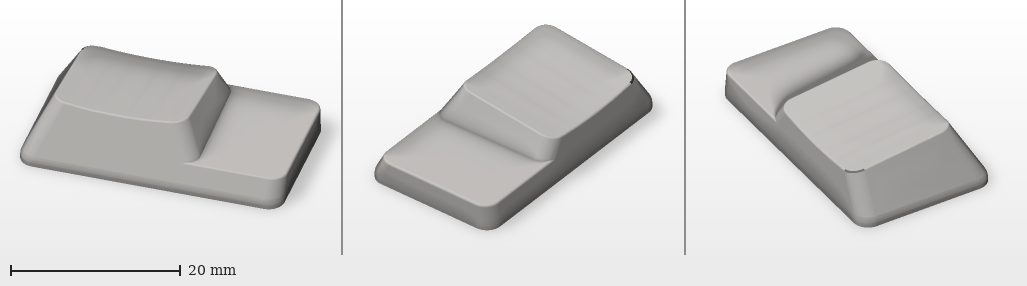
import cadquery as cq
import math

length = 32.45
width = 18.16
corner_radius = 1.95

skirt_height = 0.6
band_height = 0.72
band_top = skirt_height + band_height
wall_foot = skirt_height + band_height / 2

key_foot_right = 23.05
top_left = 3.38
top_right = 19.55
top_front = 3.75
top_back_inset = 0.48
top_back = width - top_back_inset
top_corner_radius = 1.8
top_tilt = math.radians(7.0)
top_front_height = 7.98
top_edge_radius = 0.25

dish_radius = 60.0
dish_depth = 0.84

step_height = 3.53
step_edge_radius = 0.28

top_middle_x = (top_left + top_right) / 2
top_middle_y = (top_front + top_back) / 2
top_back_height = top_front_height - (top_back - top_front) * math.tan(top_tilt)
top_middle_height = (top_front_height + top_back_height) / 2

front_lean = top_front / (top_front_height - wall_foot)
back_lean = (width - top_back) / (top_back_height - wall_foot)
left_lean = top_left / (top_middle_height - wall_foot)
key_right_lean = (key_foot_right - top_right) / (top_middle_height - wall_foot)


def rounded_outline(plane, left, right, front, back, radius):
    """Rectangle with four rounded corners, in the local axes of the plane."""
    wire = cq.Workplane(plane).moveTo(left + radius, front).lineTo(right - radius, front)
    wire = wire.radiusArc((right, front + radius), -radius).lineTo(right, back - radius)
    wire = wire.radiusArc((right - radius, back), -radius).lineTo(left + radius, back)
    wire = wire.radiusArc((left, back - radius), -radius).lineTo(left, front + radius)
    return wire.radiusArc((left + radius, front), -radius).close().val()


def step_outline(height):
    """Level outline, square on the left where it is buried in the key."""
    front = front_lean * (height - wall_foot)
    back = width - back_lean * (height - wall_foot)
    wire = cq.Workplane(cq.Plane(origin=(0, 0, height))).moveTo(top_middle_x, front)
    wire = wire.lineTo(length - corner_radius, front)
    wire = wire.radiusArc((length, front + corner_radius), -corner_radius)
    wire = wire.lineTo(length, back - corner_radius)
    wire = wire.radiusArc((length - corner_radius, back), -corner_radius)
    return wire.lineTo(top_middle_x, back).close().val()


def make_skirt():
    skirt = cq.Workplane("XY").box(length, width, skirt_height, centered=False)
    return skirt.edges("|Z").fillet(corner_radius)


def band_outline(fraction):
    """Outline at a fraction of the band height; the inset grows as a parabola."""
    inset = band_height / 2 * fraction**2
    plane = cq.Plane(origin=(0, 0, skirt_height + band_height * fraction))
    return rounded_outline(
        plane,
        left_lean * inset,
        length,
        front_lean * inset,
        width - back_lean * inset,
        corner_radius,
    )


def make_band():
    """Curved band between the skirt and the sloped walls; the right end stays vertical."""
    outlines = [band_outline(0), band_outline(0.5), band_outline(1)]
    return cq.Workplane(cq.Solid.makeLoft(outlines))


def make_dish():
    """Long cylinder whose lowest line lies below the tilted top plane."""
    axis_lift = (dish_radius - dish_depth) / math.cos(top_tilt)
    plane = cq.Plane(
        origin=(top_middle_x, top_front, top_front_height + axis_lift),
        xDir=(1, 0, 0),
        normal=(0, math.cos(top_tilt), -math.sin(top_tilt)),
    )
    return cq.Workplane(plane).circle(dish_radius).extrude(2 * width, both=True)


def make_key():
    """Ruled block from the top of the band up to the tilted, dished top."""
    rise = band_top - wall_foot
    base = rounded_outline(
        cq.Plane(origin=(0, 0, band_top)),
        left_lean * rise,
        key_foot_right - key_right_lean * rise,
        front_lean * rise,
        width - back_lean * rise,
        corner_radius,
    )
    top_plane = cq.Plane(
        origin=(top_middle_x, top_middle_y, top_middle_height),
        xDir=(1, 0, 0),
        normal=(0, math.sin(top_tilt), math.cos(top_tilt)),
    )
    half_length = (top_right - top_left) / 2
    half_width = (top_back - top_front) / 2 / math.cos(top_tilt)
    top = rounded_outline(
        top_plane, -half_length, half_length, -half_width, half_width, top_corner_radius
    )
    block = cq.Workplane(cq.Solid.makeLoft([base, top], True))
    return block.cut(make_dish()).faces(">Z").edges().fillet(top_edge_radius)


def make_step():
    """Low block whose front and back walls continue those of the key."""
    outlines = [step_outline(band_top), step_outline(step_height)]
    block = cq.Workplane(cq.Solid.makeLoft(outlines, True))
    return block.faces(">Z").edges("not <X").fillet(step_edge_radius)


result = make_skirt().union(make_band()).union(make_key()).union(make_step()).clean()